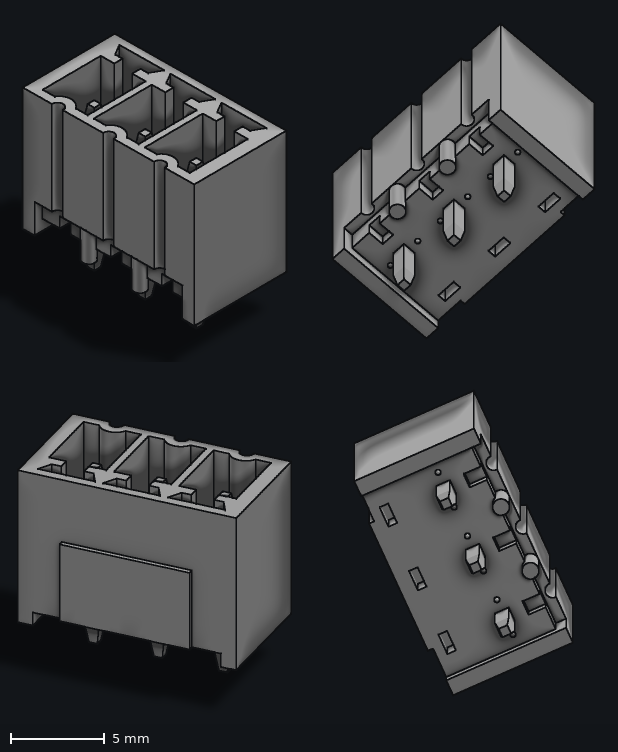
import cadquery as cq

pole_count = 3
pitch = 3.81
end_margin = 2.6
housing_depth = 7.0
housing_height = 9.2
pole_x = [(i - (pole_count - 1) / 2) * pitch for i in range(pole_count)]
pin_row_length = (pole_count - 1) * pitch
housing_width = pin_row_length + 2 * end_margin

leg_width = 0.9
underside_z = 0.8
front_step_depth = 0.6
front_step_z = 2.2
pin_slot_depth = 1.0
pin_slot_top_z = 1.6
peg_diameter = 0.9
nub_diameter = 0.3
nub_offset = 1.04

tab_thickness = 0.3
tab_top_z = 5.45

pocket_floor_z = 2.4
pocket_width = 3.36
pocket_front_y = 0.6
pocket_shoulder_y = 5.0
neck_width = 1.34
dovetail_start_y = 5.63
dovetail_start_width = 2.46
pocket_rear_y = 6.42
window_width = 1.16
window_depth = 0.5

groove_radius = 0.4
groove_center_y = 0.02
bulge_radius = 0.9
bulge_center_y = 0.14

collar_base_diameter = 2.06
collar_top_diameter = 1.9
collar_height = 0.8

pin_y = 2.8
pin_size = 0.8
pin_tip_size = 0.5
pin_taper_length = 1.0
pin_top_z = 8.0
pin_bottom_z = -2.6


def block(x, y_min, y_max, z_min, z_max, width):
    """Box centred on x, between the given Y and Z limits."""
    box = cq.Workplane("XY").box(width, y_max - y_min, z_max - z_min, centered=(True, False, False))
    return box.translate((x, y_min, z_min))


def cylinder(x, y, z_min, z_max, diameter):
    """Upright cylinder."""
    return cq.Workplane("XY", origin=(x, y, z_min)).circle(diameter / 2).extrude(z_max - z_min)


def pocket(x):
    """Plug pocket: rectangular well, neck and dovetail, with the front wall bulge left standing."""
    right_half = [
        (pocket_width / 2, pocket_front_y),
        (pocket_width / 2, pocket_shoulder_y),
        (neck_width / 2, pocket_shoulder_y),
        (neck_width / 2, dovetail_start_y),
        (dovetail_start_width / 2, dovetail_start_y),
        (pocket_width / 2, pocket_rear_y),
    ]
    left_half = [(-px, py) for px, py in reversed(right_half)]
    outline = cq.Workplane("XY", origin=(x, 0, pocket_floor_z)).polyline(right_half + left_half).close()
    well = outline.extrude(housing_height - pocket_floor_z)
    return well.cut(cylinder(x, bulge_center_y, pocket_floor_z, housing_height, 2 * bulge_radius))


def pin_collar(x):
    """Low tapered collar standing on the pocket floor around a pin."""
    return (
        cq.Workplane("XY", origin=(x, pin_y, pocket_floor_z))
        .circle(collar_base_diameter / 2)
        .workplane(offset=collar_height)
        .circle(collar_top_diameter / 2)
        .loft(ruled=True)
    )


def pole_cutouts(x):
    """All material removed for one pole, apart from the pin hole."""
    window_y = pocket_rear_y - window_depth
    window = block(x, window_y, pocket_rear_y, underside_z, pocket_floor_z, window_width)
    groove = cylinder(x, groove_center_y, 0, housing_height, 2 * groove_radius)
    slot_rear_y = front_step_depth + pin_slot_depth
    slot = block(x, front_step_depth, slot_rear_y, underside_z, pin_slot_top_z, pin_size)
    return [pocket(x), window, groove, slot]


def make_pin(x):
    """Square contact pin with both ends tapered."""
    straight = block(
        x, pin_y - pin_size / 2, pin_y + pin_size / 2,
        pin_bottom_z + pin_taper_length, pin_top_z - pin_taper_length, pin_size,
    )
    upper_tip = (
        straight.faces(">Z").workplane(centerOption="CenterOfMass").rect(pin_size, pin_size)
        .workplane(offset=pin_taper_length).rect(pin_tip_size, pin_tip_size)
        .loft(ruled=True, combine=False)
    )
    lower_tip = (
        straight.faces("<Z").workplane(centerOption="CenterOfMass").rect(pin_size, pin_size)
        .workplane(offset=pin_taper_length).rect(pin_tip_size, pin_tip_size)
        .loft(ruled=True, combine=False)
    )
    return straight.union(upper_tip).union(lower_tip)


def make_housing(pins):
    """Insulating housing with pockets, legs, feet and close-fitting pin holes."""
    body = block(0, 0, housing_depth, 0, housing_height, housing_width)
    tab_rear_y = housing_depth + tab_thickness
    body = body.union(block(0, housing_depth, tab_rear_y, underside_z, tab_top_z, pin_row_length))

    span = housing_width - 2 * leg_width
    body = body.cut(block(0, 0, housing_depth, 0, underside_z, span))
    body = body.cut(block(0, 0, front_step_depth, 0, front_step_z, span))

    for x in pole_x:
        for cutout in pole_cutouts(x):
            body = body.cut(cutout)
        body = body.union(pin_collar(x))

    for x in pole_x[:-1]:
        body = body.union(cylinder(x + pitch / 2, peg_diameter / 2, 0, front_step_z, peg_diameter))

    for x in pole_x:
        for side in (-1, 1):
            nub = cq.Workplane("XY").sphere(nub_diameter / 2)
            body = body.union(nub.translate((x + side * nub_offset, pin_y, underside_z)))

    for pin in pins:
        body = body.cut(pin)
    return body


pins = [make_pin(x) for x in pole_x]
housing = make_housing(pins)

result = cq.Compound.makeCompound([housing.val(), *[pin.val() for pin in pins]])